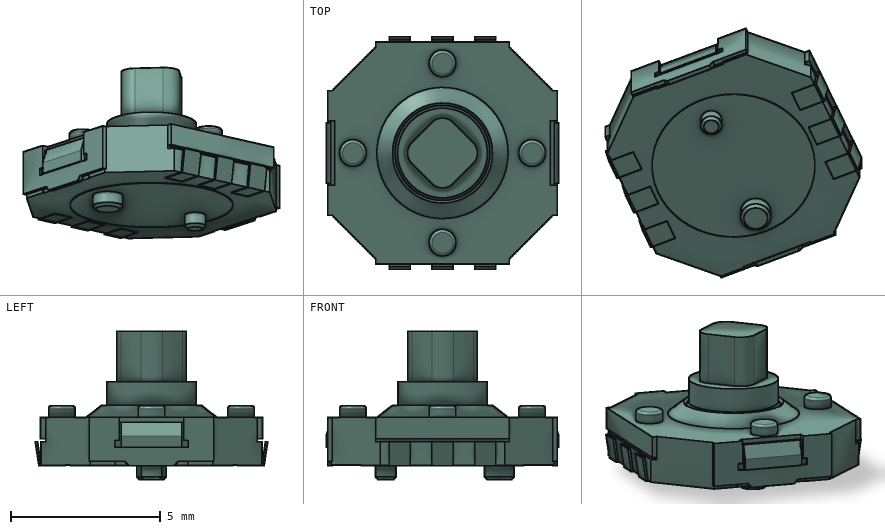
import cadquery as cq

COVER_TOP = 1.6
CONE_TOP = 2.005
COLLAR_TOP = 2.8
STEM_TOP = 4.49
PEG_LENGTH = 0.5
STANDOFF = 0.02

BODY_HALF_X = 3.7
BODY_HALF_Y = 3.55
CORNER_SUM = 5.79
BASE_HALF_Y = 3.705
BASE_TOP = 0.79
BASE_HALF_X = 3.74
BASE_RECESS_HALF_WIDTH = 1.21

COVER_HALF_X = 3.85
COVER_HALF_Y = 3.72
FLANGE_BOTTOM = 0.88
PLATE_BOTTOM = 0.125
FOOT_HALF_TOP = 0.89
FOOT_HALF_BOTTOM = 0.765

WINDOW_HALF_WIDTH = 1.08
WINDOW_BOTTOM = 0.6
WINDOW_BACK_X = 3.75
LEDGE_BACK_X = 3.62
LEDGE_Z = 1.44
RELIEF_HALF_WIDTH = 1.23
RELIEF_TOP = 0.83
RELIEF_ROUND = 0.04
LATCH_HALF_WIDTH = 1.01
LATCH_BEND_Z = 0.98
LATCH_OUTER_X = 3.9

LEAD_PITCH = 1.435
LEAD_WIDTH = 0.71
LEAD_THICKNESS = 0.085
LEAD_TOP_Y = 3.9
LEAD_BOTTOM_Y = 3.775
LEAD_FOOT_INNER_Y = 2.885

POST_DIAMETER = 0.9
POST_FLAT_DIAMETER = 0.7
POST_HEIGHT = 0.39
POST_DISTANCE = 3.0
PEG_DISTANCE = 1.9
SMALL_PEG_DIAMETER = 0.7
LARGE_PEG_DIAMETER = 1.0
PEG_CHAMFER = 0.1
PAD_DIAMETER = 5.46

CONE_BASE_DIAMETER = 4.4
CONE_RIM_DIAMETER = 3.355
GROOVE_DIAMETER = 3.18
GROOVE_DEPTH = 0.11
COLLAR_DIAMETER = 3.0
STEM_WIDTH = 1.95
STEM_CORNER_RADIUS = 0.5

GROOVE_Z = CONE_TOP - GROOVE_DEPTH


def box(x0, x1, y0, y1, z0, z1):
    """Box between two opposite corners."""
    return cq.Workplane("XY").box(x1 - x0, y1 - y0, z1 - z0, centered=False).translate((x0, y0, z0))


def octagon(half_x, half_y, height):
    """Prism on Z = 0 whose four corners are cut at 45 degrees."""
    corner_x = CORNER_SUM - half_y
    corner_y = CORNER_SUM - half_x
    points = [
        (half_x, -corner_y), (half_x, corner_y), (corner_x, half_y), (-corner_x, half_y),
        (-half_x, corner_y), (-half_x, -corner_y), (-corner_x, -half_y), (corner_x, -half_y),
    ]
    return cq.Workplane("XY").polyline(points).close().extrude(height)


def cone(bottom_diameter, top_diameter, bottom_z, top_z):
    """Round frustum about the Z axis."""
    profile = [(0, bottom_z), (bottom_diameter / 2, bottom_z), (top_diameter / 2, top_z), (0, top_z)]
    return cq.Workplane("XZ").polyline(profile).close().revolve(360, (0, 0), (0, 1))


def on_both_ends(feature):
    """The feature and its copy turned half a turn about the Z axis."""
    return feature.union(feature.rotate((0, 0, 0), (0, 0, 1), 180))


def base_recess():
    """Shallow recess at the foot of the +X side of the base."""
    half_width = BASE_RECESS_HALF_WIDTH
    return box(BODY_HALF_X, BASE_HALF_X, -half_width, half_width, 0, PLATE_BOTTOM)


def cover_flange():
    """Folded cover edge on the +Y side."""
    half_width = CORNER_SUM - BODY_HALF_Y
    return box(-half_width, half_width, BODY_HALF_Y, COVER_HALF_Y, FLANGE_BOTTOM, COVER_TOP)


def cover_plate():
    """Folded cover edge on the +X side, with a tapered foot in the middle."""
    half_width = CORNER_SUM - BODY_HALF_X
    outline = [
        (-half_width, COVER_TOP), (-half_width, PLATE_BOTTOM),
        (-FOOT_HALF_TOP, PLATE_BOTTOM), (-FOOT_HALF_BOTTOM, -STANDOFF),
        (FOOT_HALF_BOTTOM, -STANDOFF), (FOOT_HALF_TOP, PLATE_BOTTOM),
        (half_width, PLATE_BOTTOM), (half_width, COVER_TOP),
    ]
    plate = cq.Workplane("YZ").polyline(outline).close().extrude(COVER_HALF_X - BODY_HALF_X)
    return plate.translate((BODY_HALF_X, 0, 0))


def latch_window():
    """Opening in the +X side: slot, ledge notch at the top and a relief with rounded ends."""
    slot = box(WINDOW_BACK_X, COVER_HALF_X, -WINDOW_HALF_WIDTH, WINDOW_HALF_WIDTH, WINDOW_BOTTOM, COVER_TOP)
    notch = box(LEDGE_BACK_X, COVER_HALF_X, -WINDOW_HALF_WIDTH, WINDOW_HALF_WIDTH, LEDGE_Z, COVER_TOP)
    relief = box(
        WINDOW_BACK_X, COVER_HALF_X, -RELIEF_HALF_WIDTH, RELIEF_HALF_WIDTH, WINDOW_BOTTOM, RELIEF_TOP
    ).edges("|X").fillet(RELIEF_ROUND)
    return slot.union(notch).union(relief)


def latch():
    """Snap latch in the window: it slopes out from the ledge, then runs straight down."""
    profile = [
        (BODY_HALF_X, WINDOW_BOTTOM), (LATCH_OUTER_X, WINDOW_BOTTOM), (LATCH_OUTER_X, LATCH_BEND_Z),
        (WINDOW_BACK_X, LEDGE_Z), (BODY_HALF_X, LEDGE_Z),
    ]
    return cq.Workplane("XZ").polyline(profile).close().extrude(LATCH_HALF_WIDTH, both=True)


def lead():
    """Solder lead on the +Y side: an outward-leaning blade and a foot under the body."""
    profile = [
        (LEAD_FOOT_INNER_Y, 0), (LEAD_FOOT_INNER_Y, -STANDOFF), (LEAD_BOTTOM_Y, -STANDOFF),
        (LEAD_TOP_Y, BASE_TOP), (LEAD_TOP_Y - LEAD_THICKNESS, BASE_TOP),
        (BASE_HALF_Y, 0),
    ]
    return cq.Workplane("YZ").polyline(profile).close().extrude(LEAD_WIDTH / 2, both=True)


def post():
    """Round-edged post on top of the cover, on the +X axis."""
    edge_radius = (POST_DIAMETER - POST_FLAT_DIAMETER) / 2
    shaft = cq.Workplane("XY").circle(POST_DIAMETER / 2).extrude(POST_HEIGHT)
    return shaft.faces(">Z").edges().fillet(edge_radius).translate((POST_DISTANCE, 0, COVER_TOP))


def peg(diameter, x):
    """Chamfered locating peg below the body."""
    shaft = cq.Workplane("XY").circle(diameter / 2).extrude(-PEG_LENGTH)
    return shaft.faces("<Z").chamfer(PEG_CHAMFER).translate((x, 0, 0))


def make_housing():
    housing = octagon(BODY_HALF_X, BODY_HALF_Y, COVER_TOP)
    housing = housing.union(octagon(BASE_HALF_X, BASE_HALF_Y, BASE_TOP))
    housing = housing.cut(on_both_ends(base_recess()))
    housing = housing.union(on_both_ends(cover_flange()))
    housing = housing.union(on_both_ends(cover_plate()))
    housing = housing.cut(on_both_ends(latch_window()))
    housing = housing.union(on_both_ends(latch()))
    for column in (-1, 0, 1):
        housing = housing.union(on_both_ends(lead().translate((column * LEAD_PITCH, 0, 0))))
    for quarter in range(4):
        housing = housing.union(post().rotate((0, 0, 0), (0, 0, 1), 90 * quarter))
    housing = housing.union(cq.Workplane("XY").circle(PAD_DIAMETER / 2).extrude(-STANDOFF))
    housing = housing.union(peg(SMALL_PEG_DIAMETER, -PEG_DISTANCE))
    housing = housing.union(peg(LARGE_PEG_DIAMETER, PEG_DISTANCE))
    housing = housing.union(cone(CONE_BASE_DIAMETER, CONE_RIM_DIAMETER, COVER_TOP, CONE_TOP))
    return housing.cut(cone(GROOVE_DIAMETER, CONE_RIM_DIAMETER, GROOVE_Z, CONE_TOP))


def make_stem():
    """Rounded square shaft on a collar that flares out to the floor of the funnel."""
    flare = cone(GROOVE_DIAMETER, COLLAR_DIAMETER, GROOVE_Z, CONE_TOP)
    collar = cone(COLLAR_DIAMETER, COLLAR_DIAMETER, CONE_TOP, COLLAR_TOP)
    shaft = cq.Workplane("XY").rect(STEM_WIDTH, STEM_WIDTH).extrude(STEM_TOP - COLLAR_TOP)
    shaft = shaft.edges("|Z").fillet(STEM_CORNER_RADIUS)
    shaft = shaft.rotate((0, 0, 0), (0, 0, 1), 45).translate((0, 0, COLLAR_TOP))
    return flare.union(collar).union(shaft)


housing = make_housing()
stem = make_stem()
result = cq.Compound.makeCompound([housing.val(), stem.val()])